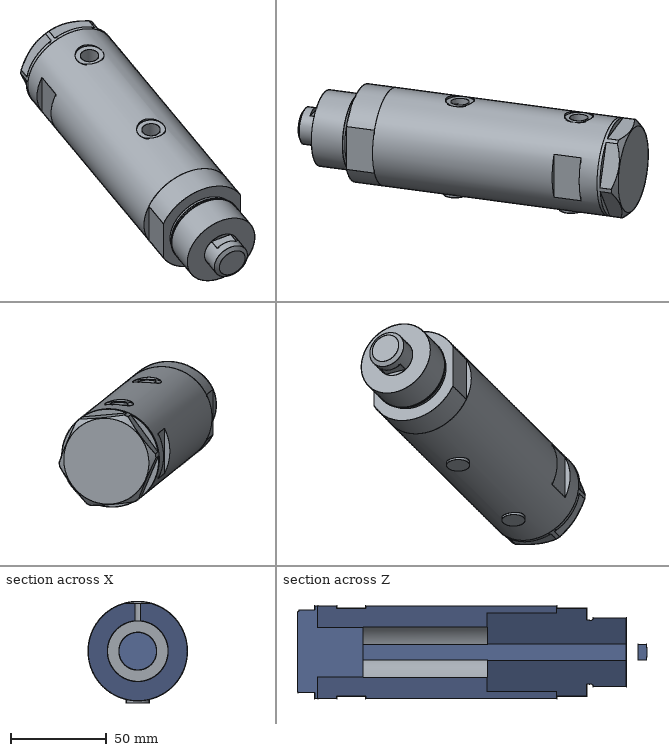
import cadquery as cq
import math


OUTER_RADIUS = 52.0 / 2
BORE_RADIUS = 15.8
ROD_RADIUS = 10.0
WRENCH_SIZE = 46.2

TOTAL_LENGTH = 184.0
HEX_END = 9.0
BARREL_START = 10.7
CHAMBER_START = 34.5
CHAMBER_END = 99.4
BARREL_END = 135.8
NECK_START = 151.5
COLLAR_START = 154.8
COLLAR_END = 172.0

HEX_TILT = 7.3
CAP_FACE_RADIUS = 22.8
HEX_SIDES = 6
CAP_CHAMFER_LENGTH = 2.8

PORT_POSITIONS = (30.4, 96.6)
PORT_RADIUS = 4.8
SPOTFACE_RADIUS = 7.5
SPOTFACE_DEPTH = 1.1
BOSS_POSITIONS = (34.8, CHAMBER_END)
BOSS_RADIUS = 6.0
BOSS_PROTRUSION = 1.1
BOSS_BOTTOM = -(OUTER_RADIUS + BOSS_PROTRUSION)
BARREL_FLAT_START = 20.6
BARREL_FLAT_LENGTH = 15.0

SPIGOT_RADIUS = 22.3
COLLAR_RADIUS = 20.2
NECK_RADIUS = 19.1
GROOVE_START = 152.7
GROOVE_FLOOR_END = 153.8
COLLAR_CONE_RADIUS = 19.9
GROOVE_DEPTH = 0.2

ROD_FLAT_SIZE = 16.2
ROD_FLAT_END = 178.1
ROD_TIP_CHAMFER_LENGTH = 1.5
ROD_TIP_CHAMFER_DEPTH = 2.2


def shaft(start, end, radius):
    """Solid cylinder on the X axis between two stations."""
    return cq.Workplane("YZ").workplane(offset=start).circle(radius).extrude(end - start)


def turned(profile):
    """Solid of revolution about X from (x, radius) points."""
    return cq.Workplane("XY").polyline(profile).close().revolve(360, (0, 0, 0), (1, 0, 0))


def cut_flats(body, start, end, normal, size):
    """Mill two opposite flats, a given size apart and facing along Y or Z, over a stretch of a body."""
    clearance = 2 * OUTER_RADIUS
    if normal == "Y":
        width, height = size, 2 * clearance
    else:
        width, height = 2 * clearance, size
    core = cq.Workplane("YZ").workplane(offset=start).rect(width, height).extrude(end - start)
    return body.cut(shaft(start, end, clearance).cut(core))


def make_cap():
    """Hexagonal end cap with a round flange and a spigot that fills the bore."""
    corner_diameter = WRENCH_SIZE / math.cos(math.pi / HEX_SIDES)
    hexagon = (
        cq.Workplane("YZ")
        .polygon(HEX_SIDES, corner_diameter)
        .extrude(HEX_END)
        .rotate((0, 0, 0), (1, 0, 0), -HEX_TILT)
    )
    envelope = turned([
        (0, 0),
        (0, CAP_FACE_RADIUS),
        (CAP_CHAMFER_LENGTH, OUTER_RADIUS),
        (HEX_END, OUTER_RADIUS),
        (HEX_END, 0),
    ])
    flange = shaft(HEX_END, BARREL_START, OUTER_RADIUS)
    spigot = shaft(BARREL_START, CHAMBER_START, BORE_RADIUS)
    return hexagon.intersect(envelope).union(flange).union(spigot)


def make_barrel():
    """Barrel with bore, head recess, wrench flats, two ports on top and two bosses below."""
    barrel = shaft(BARREL_START, BARREL_END, OUTER_RADIUS)
    for x in BOSS_POSITIONS:
        boss = cq.Workplane("XY", origin=(x, 0, BOSS_BOTTOM)).circle(BOSS_RADIUS)
        barrel = barrel.union(boss.extrude(-BOSS_BOTTOM))
    barrel = barrel.cut(shaft(BARREL_START, CHAMBER_END, BORE_RADIUS))
    barrel = barrel.cut(shaft(CHAMBER_END, BARREL_END, SPIGOT_RADIUS))
    flat_end = BARREL_FLAT_START + BARREL_FLAT_LENGTH
    barrel = cut_flats(barrel, BARREL_FLAT_START, flat_end, "Y", WRENCH_SIZE)
    for x in PORT_POSITIONS:
        port = cq.Workplane("XY", origin=(x, 0, 0)).circle(PORT_RADIUS).extrude(OUTER_RADIUS)
        floor = cq.Workplane("XY", origin=(x, 0, OUTER_RADIUS - SPOTFACE_DEPTH))
        barrel = barrel.cut(port).cut(floor.circle(SPOTFACE_RADIUS).extrude(OUTER_RADIUS))
    return barrel


def make_head():
    """Rod guide: spigot inside the barrel, flanged body with flats, relieved neck and collar."""
    groove_radius = NECK_RADIUS - GROOVE_DEPTH
    head = turned([
        (CHAMBER_END, ROD_RADIUS),
        (CHAMBER_END, SPIGOT_RADIUS),
        (BARREL_END, SPIGOT_RADIUS),
        (BARREL_END, OUTER_RADIUS),
        (NECK_START, OUTER_RADIUS),
        (NECK_START, NECK_RADIUS),
        (GROOVE_START, NECK_RADIUS),
        (GROOVE_START, groove_radius),
        (GROOVE_FLOOR_END, groove_radius),
        (COLLAR_START, COLLAR_CONE_RADIUS),
        (COLLAR_START, COLLAR_RADIUS),
        (COLLAR_END, COLLAR_RADIUS),
        (COLLAR_END, ROD_RADIUS),
    ])
    return cut_flats(head, BARREL_END, NECK_START, "Y", WRENCH_SIZE)


def make_rod():
    """Plain rod from the cap spigot to the tip, with two wrench flats behind the tip."""
    chamfer_start = TOTAL_LENGTH - ROD_TIP_CHAMFER_LENGTH
    rod = turned([
        (CHAMBER_START, 0),
        (CHAMBER_START, ROD_RADIUS),
        (chamfer_start, ROD_RADIUS),
        (TOTAL_LENGTH, ROD_RADIUS - ROD_TIP_CHAMFER_DEPTH),
        (TOTAL_LENGTH, 0),
    ])
    return cut_flats(rod, COLLAR_END, ROD_FLAT_END, "Z", ROD_FLAT_SIZE)


cap = make_cap()
barrel = make_barrel()
head = make_head()
rod = make_rod()

result = cq.Compound.makeCompound([cap.val(), barrel.val(), head.val(), rod.val()])